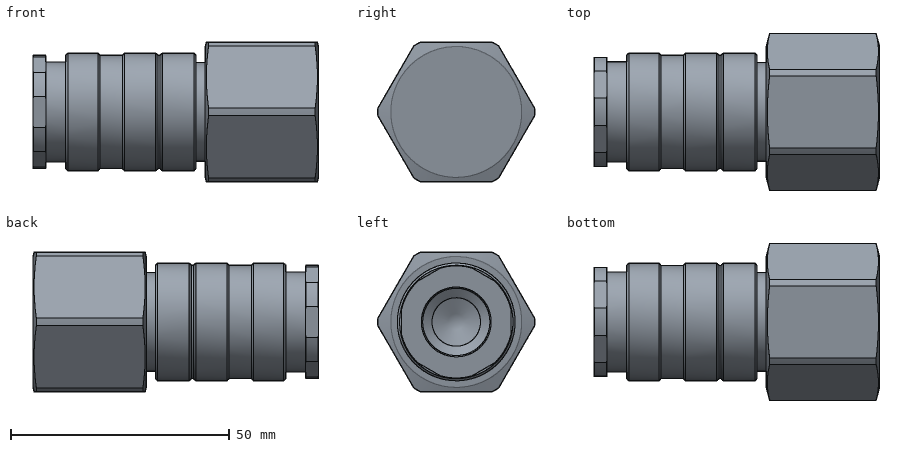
import cadquery as cq
import math

HEX_HALF_ANGLE = math.radians(30)

TOTAL_LENGTH = 65.47
HEX_LENGTH = 26.0
HEX_ACROSS_FLATS = 32.0
HEX_CORNER_DIAMETER = 36.0
HEX_CHAMFER_DIAMETER = 30.0
HEX_CHAMFER_ANGLE = 15.0
HEX_START = TOTAL_LENGTH - HEX_LENGTH

FLANGE_LENGTH = 3.0
FLANGE_DIAMETER = 26.0
FLANGE_ACROSS_FLATS = 25.0
FLANGE_EDGE_BREAK = 0.15

FRONT_NECK_DIAMETER = 23.0
REAR_NECK_DIAMETER = 22.7
SLEEVE_DIAMETER = 27.0
GROOVE_DIAMETER = 26.0
SLEEVE_START = 7.5
WIDE_GROOVE_START = 15.4
WIDE_GROOVE_END = 20.5
NARROW_GROOVE_CENTER = 28.9
NARROW_GROOVE_FLOOR_WIDTH = 0.4
NARROW_GROOVE_RIM_DIAMETER = 26.6
NARROW_GROOVE_FLANK_LENGTH = 0.35
NARROW_GROOVE_RIM_CHAMFER = (SLEEVE_DIAMETER - NARROW_GROOVE_RIM_DIAMETER) / 2
SLEEVE_END = 37.4
SLEEVE_CHAMFER = (SLEEVE_DIAMETER - GROOVE_DIAMETER) / 2

BORE_DIAMETER = 16.0
BORE_DEPTH = 16.0
SEAT_DIAMETER = 15.4
BORE_TAPER_HALF_ANGLE = 30.0
SEAT_DEPTH = 20.0
DRILL_DIAMETER = 11.1
SEAT_CONE_HALF_ANGLE = 60.0
DRILL_DEPTH = 25.0
DRILL_POINT_HALF_ANGLE = 70.0


def cylinder(diameter, start, end):
    """Cylinder on the X axis between two X positions."""
    return cq.Workplane("YZ", origin=(start, 0, 0)).circle(diameter / 2).extrude(end - start)


def hexagon(across_flats, start, end):
    """Hexagonal bar on the X axis with two corners on the Y axis."""
    corner_diameter = across_flats / math.cos(HEX_HALF_ANGLE)
    return cq.Workplane("YZ", origin=(start, 0, 0)).polygon(6, corner_diameter).extrude(end - start)


def revolve_about_x(profile):
    """Full turn of a closed XY profile about the X axis."""
    return profile.revolve(360, (0, 0, 0), (1, 0, 0))


def make_flange():
    """Round flange with six shallow flats, two of them facing along Y."""
    disc = cylinder(FLANGE_DIAMETER, 0, FLANGE_LENGTH).edges("%CIRCLE").chamfer(FLANGE_EDGE_BREAK)
    flats = hexagon(FLANGE_ACROSS_FLATS, 0, FLANGE_LENGTH)
    flats = flats.rotate((0, 0, 0), (1, 0, 0), math.degrees(HEX_HALF_ANGLE))
    return disc.intersect(flats)


def make_hex_body():
    """Hexagonal wrench body with turned corners and chamfered ends."""
    corner_radius = HEX_CORNER_DIAMETER / 2
    face_radius = HEX_CHAMFER_DIAMETER / 2
    chamfer_length = (corner_radius - face_radius) * math.tan(math.radians(HEX_CHAMFER_ANGLE))
    blank_profile = (
        cq.Workplane("XY")
        .moveTo(HEX_START, 0)
        .lineTo(HEX_START, face_radius)
        .lineTo(HEX_START + chamfer_length, corner_radius)
        .lineTo(TOTAL_LENGTH - chamfer_length, corner_radius)
        .lineTo(TOTAL_LENGTH, face_radius)
        .lineTo(TOTAL_LENGTH, 0)
        .close()
    )
    return revolve_about_x(blank_profile).intersect(hexagon(HEX_ACROSS_FLATS, HEX_START, TOTAL_LENGTH))


def make_sleeve():
    """Sleeve of three rings parted by a wide groove and a narrow groove with two-step flanks."""
    ring_radius = SLEEVE_DIAMETER / 2
    groove_radius = GROOVE_DIAMETER / 2
    rim_radius = NARROW_GROOVE_RIM_DIAMETER / 2
    floor_half_width = NARROW_GROOVE_FLOOR_WIDTH / 2
    flank_half_width = floor_half_width + NARROW_GROOVE_FLANK_LENGTH
    rim_half_width = flank_half_width + NARROW_GROOVE_RIM_CHAMFER
    profile = (
        cq.Workplane("XY")
        .moveTo(SLEEVE_START, 0)
        .lineTo(SLEEVE_START, groove_radius)
        .lineTo(SLEEVE_START + SLEEVE_CHAMFER, ring_radius)
        .lineTo(WIDE_GROOVE_START - SLEEVE_CHAMFER, ring_radius)
        .lineTo(WIDE_GROOVE_START, groove_radius)
        .lineTo(WIDE_GROOVE_END, groove_radius)
        .lineTo(WIDE_GROOVE_END + SLEEVE_CHAMFER, ring_radius)
        .lineTo(NARROW_GROOVE_CENTER - rim_half_width, ring_radius)
        .lineTo(NARROW_GROOVE_CENTER - flank_half_width, rim_radius)
        .lineTo(NARROW_GROOVE_CENTER - floor_half_width, groove_radius)
        .lineTo(NARROW_GROOVE_CENTER + floor_half_width, groove_radius)
        .lineTo(NARROW_GROOVE_CENTER + flank_half_width, rim_radius)
        .lineTo(NARROW_GROOVE_CENTER + rim_half_width, ring_radius)
        .lineTo(SLEEVE_END - SLEEVE_CHAMFER, ring_radius)
        .lineTo(SLEEVE_END, groove_radius)
        .lineTo(SLEEVE_END, 0)
        .close()
    )
    return revolve_about_x(profile)


def make_bore():
    """Blind bore that narrows through two tapers and ends in a drill point."""
    seat_radius = SEAT_DIAMETER / 2
    drill_radius = DRILL_DIAMETER / 2
    taper_length = (BORE_DIAMETER - SEAT_DIAMETER) / 2 / math.tan(math.radians(BORE_TAPER_HALF_ANGLE))
    seat_cone_length = (seat_radius - drill_radius) / math.tan(math.radians(SEAT_CONE_HALF_ANGLE))
    point_length = drill_radius / math.tan(math.radians(DRILL_POINT_HALF_ANGLE))
    profile = (
        cq.Workplane("XY")
        .lineTo(0, BORE_DIAMETER / 2)
        .lineTo(BORE_DEPTH, BORE_DIAMETER / 2)
        .lineTo(BORE_DEPTH + taper_length, seat_radius)
        .lineTo(SEAT_DEPTH, seat_radius)
        .lineTo(SEAT_DEPTH + seat_cone_length, drill_radius)
        .lineTo(DRILL_DEPTH, drill_radius)
        .lineTo(DRILL_DEPTH + point_length, 0)
        .close()
    )
    return revolve_about_x(profile)


body = make_hex_body()
body = body.union(cylinder(REAR_NECK_DIAMETER, SLEEVE_END, HEX_START))
body = body.union(make_sleeve())
body = body.union(cylinder(FRONT_NECK_DIAMETER, FLANGE_LENGTH, SLEEVE_START))
body = body.union(make_flange())
result = body.cut(make_bore())